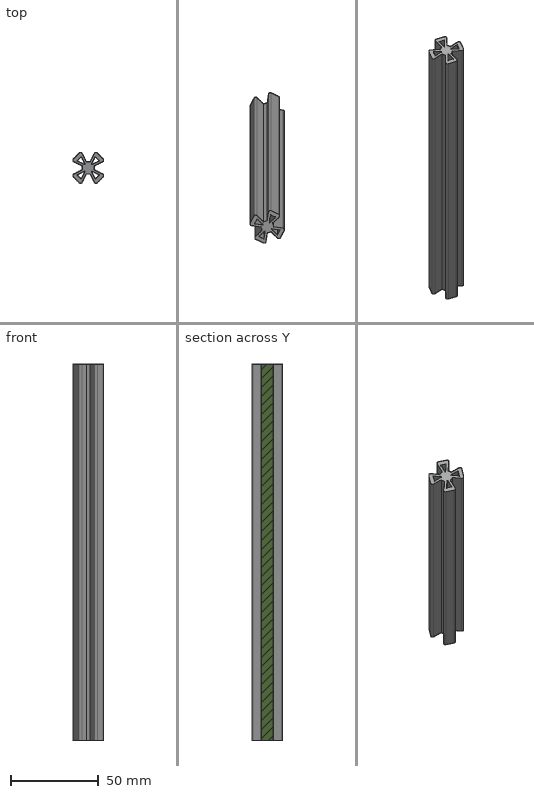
import cadquery as cq
import math

length = 215.0
core_width = 7.0
arm_count = 4

arm_reach = 9.7
flank_slope = 1 / 3
arm_root_half_width = 0.6
tip_radius = 1.0

side_wall = 1.4
outer_wall = 2.4
chamber_start = 2.8

side_wall_across = side_wall * math.hypot(1, flank_slope)
chamber_root_half_width = arm_root_half_width - side_wall_across
chamber_end = arm_reach - outer_wall


def wedge(start, end, root_half_width):
    """Full-length trapezoid prism along +X with sloping flanks."""
    start_half = root_half_width + flank_slope * start
    end_half = root_half_width + flank_slope * end
    return (
        cq.Workplane("XY")
        .polyline([(start, -start_half), (end, -end_half), (end, end_half), (start, start_half)])
        .close()
        .extrude(length)
    )


arm = wedge(0, arm_reach, arm_root_half_width).edges("|Z and >X").fillet(tip_radius)
chamber = wedge(chamber_start, chamber_end, chamber_root_half_width)

result = cq.Workplane("XY").rect(core_width, core_width).extrude(length)
arm_angles = [45 + i * 360 / arm_count for i in range(arm_count)]
for angle in arm_angles:
    result = result.union(arm.rotate((0, 0, 0), (0, 0, 1), angle))
for angle in arm_angles:
    result = result.cut(chamber.rotate((0, 0, 0), (0, 0, 1), angle))